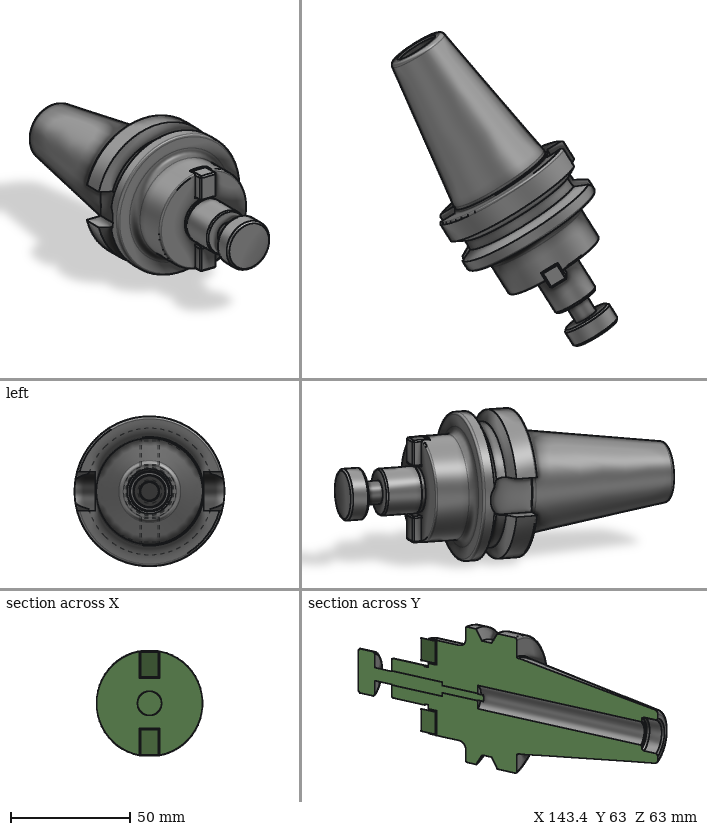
import cadquery as cq
import math


gauge_x = 65.4
gauge_radius = 44.6 / 2
taper_slope = 3.5 / 24
small_end_radius = gauge_radius - gauge_x * taper_slope
small_end_round = 1.9

flange_x = 67.4
flange_end_x = 92.0
flange_radius = 63.0 / 2
flange_round = 1.0
neck_round = 0.6
groove_mid_x = 81.9
groove_floor_radius = 53.2 / 2
groove_floor_width = 4.5
groove_side_angle = 30
nose_root_round = 3.2

nose_radius = 44.6 / 2
nose_end_x = 109.8
nose_round = 0.7
spigot_radius = 20.0 / 2
relief_radius = 19.1 / 2
relief_end_x = 111.5
spigot_end_x = 127.3
spigot_chamfer_length = 0.9
spigot_chamfer_depth = 0.5

slot_width = 16.3
slot_floor_y = 22.8
slot_end_x = 88.8

mouth_radius = 18.8 / 2
mouth_chamfer = 0.9
entry_radius = 17.0 / 2
entry_depth = 6.6
step_depth = 0.5
step_length = 1.1
bore_radius = 13.0 / 2
bore_chamfer = 0.36
bore_depth = 86.0

key_width = 8.3
key_length = 7.9
key_bottom_z = 10.6
key_top_z = 22.0
key_chamfer = 0.7
key_start_x = nose_end_x - key_length / 2

screw_end_x = 143.4
head_length = 8.2
head_radius = 22.0 / 2
head_chamfer = 0.9
shank_radius = 9.9 / 2
shank_start_x = 103.2
thread_radius = 8.3 / 2
thread_start_x = 83.2
thread_chamfer = 0.36


def turned(profile):
    """Solid of revolution about the X axis from a closed (x, radius) outline."""
    return profile.close().revolve(360, (0, 0, 0), (1, 0, 0))


def arc_sag(radius):
    """Distance from either end tangent of a quarter arc to the arc's middle point."""
    return radius * (1 - math.sqrt(0.5))


def holder_blank():
    """Taper, flange, nose and spigot, without the bore and slots."""
    groove_height = flange_radius - groove_floor_radius
    groove_side = groove_height * math.tan(math.radians(groove_side_angle))
    floor_start = groove_mid_x - groove_floor_width / 2
    floor_end = groove_mid_x + groove_floor_width / 2

    taper_angle = math.atan(taper_slope)
    round_mid_angle = (math.pi / 2 - taper_angle) / 2
    round_reach = small_end_round * math.tan(round_mid_angle)
    round_centre_radius = small_end_radius - round_reach

    def small_end_point(angle):
        """Point on the end round, at an angle turned from the end face."""
        x = small_end_round * (1 - math.cos(angle))
        return x, round_centre_radius + small_end_round * math.sin(angle)

    nose_root_radius = nose_radius + nose_root_round
    root_sag = arc_sag(nose_root_round)
    neck_sag = arc_sag(neck_round)
    flange_sag = arc_sag(flange_round)
    nose_sag = arc_sag(nose_round)

    profile = (
        cq.Workplane("XY")
        .moveTo(0, 0)
        .lineTo(*small_end_point(0))
        .threePointArc(small_end_point(round_mid_angle), small_end_point(2 * round_mid_angle))
        .lineTo(gauge_x, gauge_radius)
        .lineTo(flange_x - neck_round, gauge_radius)
        .threePointArc((flange_x - neck_sag, gauge_radius + neck_sag),
                       (flange_x, gauge_radius + neck_round))
        .lineTo(flange_x, flange_radius - flange_round)
        .threePointArc((flange_x + flange_sag, flange_radius - flange_sag),
                       (flange_x + flange_round, flange_radius))
        .lineTo(floor_start - groove_side, flange_radius)
        .lineTo(floor_start, groove_floor_radius)
        .lineTo(floor_end, groove_floor_radius)
        .lineTo(floor_end + groove_side, flange_radius)
        .lineTo(flange_end_x - flange_round, flange_radius)
        .threePointArc((flange_end_x - flange_sag, flange_radius - flange_sag),
                       (flange_end_x, flange_radius - flange_round))
        .lineTo(flange_end_x, nose_root_radius)
        .threePointArc((flange_end_x + root_sag, nose_radius + root_sag),
                       (flange_end_x + nose_root_round, nose_radius))
        .lineTo(nose_end_x - nose_round, nose_radius)
        .threePointArc((nose_end_x - nose_sag, nose_radius - nose_sag),
                       (nose_end_x, nose_radius - nose_round))
        .lineTo(nose_end_x, relief_radius)
        .lineTo(relief_end_x, relief_radius)
        .lineTo(relief_end_x, spigot_radius)
        .lineTo(spigot_end_x - spigot_chamfer_length, spigot_radius)
        .lineTo(spigot_end_x, spigot_radius - spigot_chamfer_depth)
        .lineTo(spigot_end_x, 0)
    )
    return turned(profile)


def bore():
    """Stepped bore that opens at the small end."""
    step_radius = entry_radius - step_depth
    step_x = entry_depth + step_length
    profile = (
        cq.Workplane("XY")
        .moveTo(0, 0)
        .lineTo(0, mouth_radius)
        .lineTo(mouth_chamfer, entry_radius)
        .lineTo(entry_depth, entry_radius)
        .lineTo(step_x, step_radius)
        .lineTo(step_x, bore_radius + bore_chamfer)
        .lineTo(step_x + bore_chamfer, bore_radius)
        .lineTo(bore_depth, bore_radius)
        .lineTo(bore_depth, 0)
    )
    return turned(profile)


def driving_slot(side):
    """Round-ended slot cut into the flange on the -Y (-1) or +Y (+1) side."""
    slot_radius = slot_width / 2
    straight_end_x = slot_end_x - slot_radius
    straight_length = straight_end_x - gauge_x
    depth = flange_radius
    middle_y = side * (slot_floor_y + depth / 2)
    straight = cq.Workplane("XY").box(straight_length, depth, slot_width).translate(
        (gauge_x + straight_length / 2, middle_y, 0))
    rounded_end = (
        cq.Workplane("XZ")
        .center(straight_end_x, 0)
        .circle(slot_radius)
        .extrude(depth / 2, both=True)
        .translate((0, middle_y, 0))
    )
    return straight.union(rounded_end)


def key_block(top_z, side):
    """Plain block from the key's underside to top_z, on the -Z (-1) or +Z (+1) side."""
    height = top_z - key_bottom_z
    return cq.Workplane("XY").box(key_length, key_width, height).translate(
        (key_start_x + key_length / 2, 0, side * (key_bottom_z + height / 2)))


def drive_key(side):
    """Drive key with all its edges chamfered."""
    return key_block(key_top_z, side).edges().chamfer(key_chamfer)


def clamping_screw():
    """Screw with a round head, a plain shank and a thinner threaded length."""
    head_x = screw_end_x - head_length
    profile = (
        cq.Workplane("XY")
        .moveTo(thread_start_x, 0)
        .lineTo(thread_start_x, thread_radius - thread_chamfer)
        .lineTo(thread_start_x + thread_chamfer, thread_radius)
        .lineTo(shank_start_x, thread_radius)
        .lineTo(shank_start_x, shank_radius)
        .lineTo(head_x, shank_radius)
        .lineTo(head_x, head_radius - head_chamfer)
        .lineTo(head_x + head_chamfer, head_radius)
        .lineTo(screw_end_x - head_chamfer, head_radius)
        .lineTo(screw_end_x, head_radius - head_chamfer)
        .lineTo(screw_end_x, 0)
    )
    return turned(profile)


sides = (-1, 1)
screw = clamping_screw()
keys = [drive_key(side) for side in sides]

holder = holder_blank().cut(bore())
for side in sides:
    holder = holder.cut(driving_slot(side))
    holder = holder.cut(key_block(flange_radius, side))
holder = holder.cut(screw)

result = cq.Compound.makeCompound([holder.val(), *[key.val() for key in keys], screw.val()])